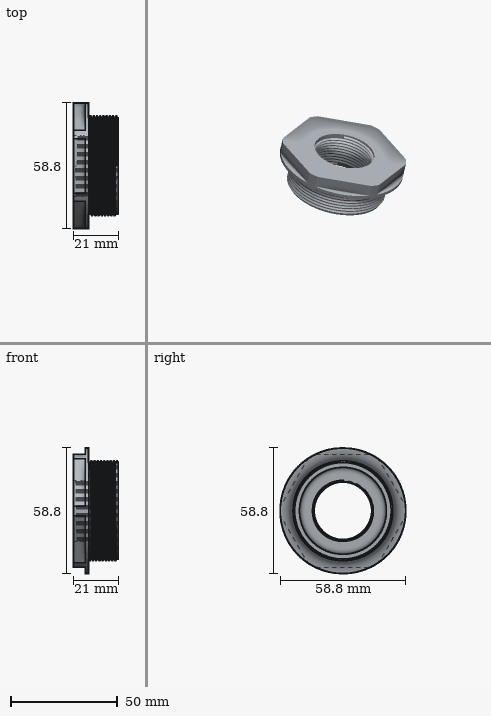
import cadquery as cq
import math

total_length = 21.0
hex_length = 5.5
hex_across_flats = 53.0
flange_diameter = 58.82
flange_thickness = 1.6
shank_diameter = 45.14
flange_end = hex_length + flange_thickness

thread_pitch = 1.5
flank_half_angle = 30.0
root_overlap = 0.05

external_crest_diameter = 46.7
external_crest_width = 0.2
external_turns = 8.5
external_start = 7.625
external_start_angle = -90.0

bore_diameter = 28.52
internal_crest_diameter = 26.9
internal_crest_width = 0.1
internal_turns = 10
internal_start = 1.375
internal_start_angle = 90.0

recess_diameter = 40.7
recess_depth = 4.5


def cylinder_x(diameter, start, length):
    """Cylinder about the X axis, from X = start."""
    return cq.Workplane("YZ").workplane(offset=start).circle(diameter / 2).extrude(length)


def helical_bar(base_radius, tip_radius, tip_width, start, start_angle, turns):
    """Right-handed helical bar about X, its trapezoid section tapering from base to tip.

    The angle is measured from +Y toward +Z. The base runs on past base_radius
    so that the bar overlaps the wall it joins.
    """
    outward = math.copysign(1, tip_radius - base_radius)
    deep_radius = base_radius - outward * root_overlap
    half_tip = tip_width / 2
    half_base = half_tip + abs(tip_radius - deep_radius) * math.tan(math.radians(flank_half_angle))
    path = cq.Wire.makeHelix(thread_pitch, turns * thread_pitch, base_radius)
    bar = (
        cq.Workplane("XZ")
        .polyline([
            (deep_radius, -half_base),
            (tip_radius, -half_tip),
            (tip_radius, half_tip),
            (deep_radius, half_base),
        ])
        .close()
        .sweep(cq.Workplane(obj=path), isFrenet=True)
    )
    bar = bar.rotate((0, 0, 0), (1, 1, 1), 120)
    return bar.rotate((0, 0, 0), (1, 0, 0), start_angle).translate((start, 0, 0))


def hex_head():
    """Hexagon with corners toward +Y and -Y, rounded off to the flange diameter."""
    across_corners = hex_across_flats / math.cos(math.radians(30))
    hexagon = cq.Workplane("YZ").polygon(6, across_corners).extrude(hex_length)
    return hexagon.intersect(cylinder_x(flange_diameter, 0, hex_length))


def external_thread():
    return helical_bar(
        shank_diameter / 2,
        external_crest_diameter / 2,
        external_crest_width,
        external_start,
        external_start_angle,
        external_turns,
    )


def internal_thread():
    return helical_bar(
        bore_diameter / 2,
        internal_crest_diameter / 2,
        internal_crest_width,
        internal_start,
        internal_start_angle,
        internal_turns,
    )


body = hex_head()
body = body.union(cylinder_x(flange_diameter, hex_length, flange_thickness))
body = body.union(cylinder_x(shank_diameter, flange_end, total_length - flange_end))
body = body.cut(cylinder_x(bore_diameter, 0, total_length))
body = body.union(internal_thread())
body = body.cut(cylinder_x(recess_diameter, total_length - recess_depth, recess_depth))
body = body.union(external_thread())

result = body